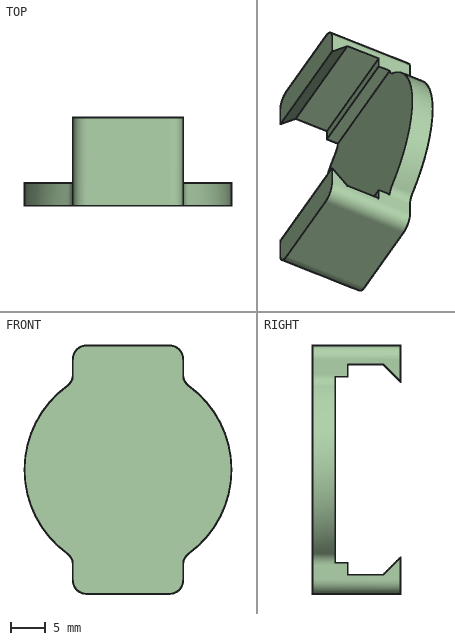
import cadquery as cq
import math

disc_radius = 15.0
height = 36.0
arm_width = 16.0
arm_depth = 12.8
disc_thickness = 3.35

corner_radius = 2.0
neck_radius = 2.0

shoulder_depth = 5.15
shoulder_half_gap = 13.45
seat_half_gap = 15.2
hook_rise = 2.53

half_height = height / 2
half_width = arm_width / 2

neck_x = half_width + neck_radius
neck_z = math.sqrt((disc_radius + neck_radius) ** 2 - neck_x**2)
tangent_ratio = disc_radius / (disc_radius + neck_radius)
tangent_x = neck_x * tangent_ratio
tangent_z = neck_z * tangent_ratio


def make_disc():
    return cq.Workplane("XZ").circle(disc_radius).extrude(-disc_thickness)


def make_arms():
    """One rounded bar over the full height, both arms in one."""
    return (
        cq.Workplane("XZ")
        .rect(arm_width, height)
        .extrude(-arm_depth)
        .edges("|Y")
        .fillet(corner_radius)
    )


def make_neck(side, end):
    """Concave web between an arm side and the disc rim, as deep as the shoulder."""
    bisector = math.pi + math.atan2(neck_z, neck_x) / 2
    mid_x = neck_x + neck_radius * math.cos(bisector)
    mid_z = neck_z + neck_radius * math.sin(bisector)
    return (
        cq.Workplane("XZ")
        .moveTo(0, 0)
        .lineTo(side * tangent_x, end * tangent_z)
        .threePointArc((side * mid_x, end * mid_z), (side * half_width, end * neck_z))
        .lineTo(0, end * neck_z)
        .close()
        .extrude(-shoulder_depth)
    )


def make_clip_opening():
    """Space behind the disc and between the arms, cut through along X."""
    hook_half_gap = seat_half_gap - hook_rise
    hook_start = arm_depth - hook_rise
    upper = [
        (disc_thickness, shoulder_half_gap),
        (shoulder_depth, shoulder_half_gap),
        (shoulder_depth, seat_half_gap),
        (hook_start, seat_half_gap),
        (arm_depth, hook_half_gap),
    ]
    lower = [(y, -z) for y, z in reversed(upper)]
    return (
        cq.Workplane("YZ")
        .polyline(upper + lower)
        .close()
        .extrude(disc_radius, both=True)
    )


body = make_disc().union(make_arms())
for side in (-1, 1):
    for end in (-1, 1):
        body = body.union(make_neck(side, end))

result = body.cut(make_clip_opening())